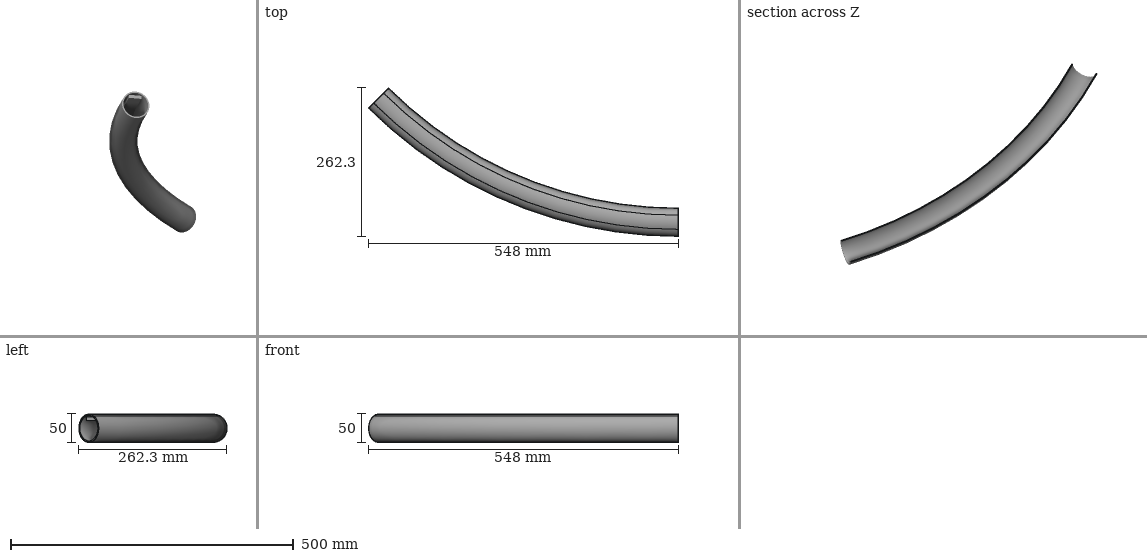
import cadquery as cq
import math

bend_radius = 750.0
bend_angle = 45.0
outer_radius = 25.0
wall = 2.5
slot_angle = 60.0
bar_bottom = 14.0
bar_lap = 0.3
bar_setback = 5.0

inner_radius = outer_radius - wall
slot_start = 90 - slot_angle / 2
slot_end = 90 + slot_angle / 2
setback_angle = math.degrees(bar_setback / bend_radius)


def polar(radius, angle):
    """Point (sideways, up) of the cross-section, with the tube axis as origin."""
    return (radius * math.cos(math.radians(angle)), radius * math.sin(math.radians(angle)))


def wall_sector(start, end):
    """Cross-section of the tube wall between two angles."""
    middle = (start + end) / 2
    return (
        cq.Workplane("YZ")
        .moveTo(*polar(outer_radius, start))
        .threePointArc(polar(outer_radius, middle), polar(outer_radius, end))
        .lineTo(*polar(inner_radius, end))
        .threePointArc(polar(inner_radius, middle), polar(inner_radius, start))
        .close()
    )


def bend(section, setback=0.0):
    """Sweep a cross-section along the bend from the +X end to the far end.

    The bend axis is vertical, on the +Y side; setback is the angle left free at each end.
    """
    swept = section.revolve(bend_angle - 2 * setback, (bend_radius, 0), (bend_radius, -1))
    return swept.rotate((0, bend_radius, 0), (0, bend_radius, 1), -setback)


def make_tube():
    """Bent tube, slotted along its top."""
    return bend(wall_sector(slot_end, slot_start + 360))


def make_cover():
    """Strip that fills the slot, with a flat bar bridging its inner corners."""
    strip = bend(wall_sector(slot_start, slot_end))
    bar_half_width, slot_corner_height = polar(inner_radius, slot_start)
    bar_top = slot_corner_height + bar_lap
    bar_section = (
        cq.Workplane("YZ")
        .moveTo(-bar_half_width, bar_bottom)
        .lineTo(bar_half_width, bar_bottom)
        .lineTo(bar_half_width, bar_top)
        .lineTo(-bar_half_width, bar_top)
        .close()
    )
    return strip.union(bend(bar_section, setback_angle))


tube = make_tube()
cover = make_cover()

result = cq.Compound.makeCompound([tube.val(), *cover.solids().vals()])